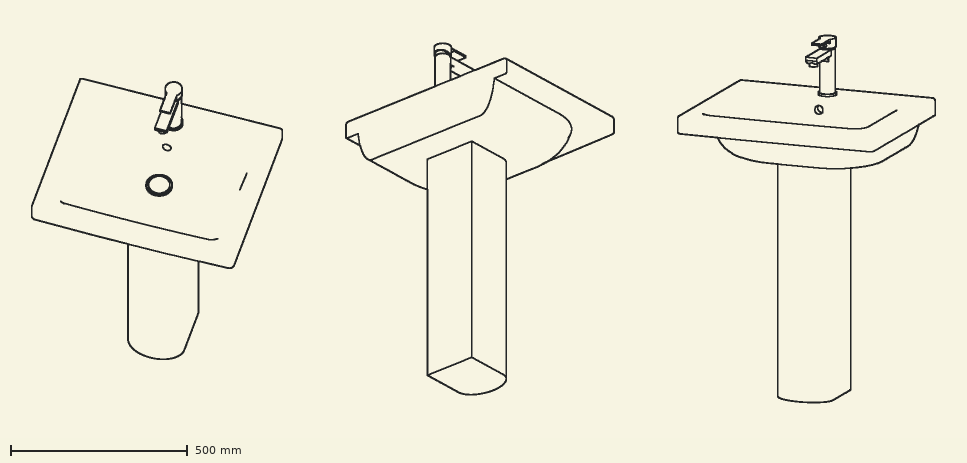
import cadquery as cq
import math


TOTAL_HEIGHT = 1013.0
BASIN_WIDTH = 601.0
BASIN_DEPTH = 480.0

RIM_Z = 847.0
SLAB_THICKNESS = 52.0
SLAB_FRONT_BOW = 4.0
SLAB_CORNER_RADIUS = 15.0
SLAB_TOP_FILLET = 9.0
SLAB_BOTTOM_FILLET = 4.0
SLAB_UNDERSIDE_Z = RIM_Z - SLAB_THICKNESS

BOWL_BOTTOM_Z = 694.0
SHELL_HEIGHT = 142.0
SHELL_FLAT_HALF_WIDTH = 203.0
SHELL_FLAT_FRONT = 304.0
SHELL_SIDE_BULGE = 55.0
SHELL_FRONT_BULGE = 126.0
SHELL_CORNER_RADIUS = 142.0
SHELL_SECTIONS = 7

DRAIN_Y = -211.0
DRAIN_RADIUS = 37.0
OPENING_HALF_WIDTH = 249.0
OPENING_BACK_Y = -136.0
OPENING_FRONT_Y = -431.0
OPENING_BOW = 4.0
SEAT_BOW = 0.4
OPENING_CORNER_RADIUS = 35.0
HOLLOW_CORNER_SWELL = 91.0
OPENING_EDGE_FILLET = 6.0
HOLLOW_FLOOR_Z = 729.0
HOLLOW_ROUNDNESS = 1.75
HOLLOW_SECTIONS = 8

OVERFLOW_RADIUS = 12.0
OVERFLOW_Z = 816.0
OVERFLOW_END_Y = -116.0

DRAIN_CAP_RADIUS = 30.0
DRAIN_FLANGE_HEIGHT = 2.0
DRAIN_CAP_HEIGHT = 4.0
DRAIN_RECESS = 5.0

PEDESTAL_WIDTH = 166.0
PEDESTAL_BACK_Y = -101.0
PEDESTAL_FRONT_Y = -292.0
PEDESTAL_NOSE_DEPTH = 55.0

TAP_Y = -72.0
TAP_RADIUS = 22.0
TAP_TOP_Z = 981.0
TAP_FLANGE_RADIUS = 26.0
TAP_FLANGE_HEIGHT = 6.0
SPOUT_WIDTH = 34.0
SPOUT_HEIGHT = 20.0
SPOUT_END_Y = -196.0
SPOUT_TIP_HEIGHT = 9.0
SPOUT_TIP_SLOPE = 9.0
SPOUT_EDGE_FILLET = 6.0
SPOUT_ROOT_SIZE = 13.0
AERATOR_Y = -178.0
AERATOR_RADIUS = 12.0
AERATOR_LENGTH = 8.0

KNOB_RADIUS = 24.0
KNOB_BOTTOM_Z = 986.0
NECK_RADIUS = 21.0
BEVEL_RISE = 8.0
BEVEL_LENGTH = 24.0
LEVER_THICKNESS = 5.0
LEVER_END_Y = -155.0
LEVER_WIDTH = 30.0
LEVER_GUSSET = 6.0
SCREW_HOLE_RADIUS = 6.0
SCREW_HOLE_Z = 997.0
SCREW_HOLE_DEPTH = 8.0


def at_height(z):
    return cq.Workplane("XY", origin=(0, 0, z))


def bowed_outline(half_width, back_y, front_y, bow, radius, z):
    """Rounded rectangle whose back and front edges bulge outward at the middle."""
    back_corner_y = back_y - bow
    front_corner_y = front_y + bow
    sharp = (
        at_height(z)
        .moveTo(-half_width, back_corner_y)
        .threePointArc((0, back_y), (half_width, back_corner_y))
        .lineTo(half_width, front_corner_y)
        .threePointArc((0, front_y), (-half_width, front_corner_y))
        .close()
        .val()
    )
    return sharp.fillet2D(radius, sharp.Vertices())


def basin_slab():
    half_width = BASIN_WIDTH / 2
    front_corner_y = SLAB_FRONT_BOW - BASIN_DEPTH
    slab = (
        at_height(SLAB_UNDERSIDE_Z)
        .moveTo(-half_width, 0)
        .lineTo(-half_width, front_corner_y)
        .threePointArc((0, -BASIN_DEPTH), (half_width, front_corner_y))
        .lineTo(half_width, 0)
        .close()
        .extrude(SLAB_THICKNESS)
        .edges("|Z")
        .edges("<Y")
        .fillet(SLAB_CORNER_RADIUS)
    )
    slab = slab.faces(">Z").edges("not >Y").fillet(SLAB_TOP_FILLET)
    return slab.faces("<Z").edges("not >Y").fillet(SLAB_BOTTOM_FILLET)


def shell_outline(angle):
    """Horizontal section of the bowl's outside, at one angle of its elliptical wall profile."""
    half_width = SHELL_FLAT_HALF_WIDTH + SHELL_SIDE_BULGE * math.cos(angle)
    front_y = -SHELL_FLAT_FRONT - SHELL_FRONT_BULGE * math.cos(angle)
    z = BOWL_BOTTOM_Z + SHELL_HEIGHT * (1 - math.sin(angle))
    r = SHELL_CORNER_RADIUS
    slant = r * math.sqrt(0.5)
    return (
        at_height(z)
        .moveTo(-half_width, 0)
        .lineTo(-half_width, front_y + r)
        .threePointArc((-half_width + r - slant, front_y + r - slant), (-half_width + r, front_y))
        .lineTo(half_width - r, front_y)
        .threePointArc((half_width - r + slant, front_y + r - slant), (half_width, front_y + r))
        .lineTo(half_width, 0)
        .close()
        .val()
    )


def bowl_shell():
    last = SHELL_SECTIONS - 1
    outlines = [shell_outline(math.pi / 2 * i / last) for i in range(SHELL_SECTIONS)]
    return cq.Workplane(cq.Solid.makeLoft(outlines))


def hollow_outline(angle):
    """Horizontal section of the hollow: the rim opening at angle 0, the drain seat at 90 degrees."""
    spread = max(math.cos(angle), 0) ** (2 / HOLLOW_ROUNDNESS)
    drop = math.sin(angle) ** (2 / HOLLOW_ROUNDNESS)

    def blend(seat, rim):
        return seat + (rim - seat) * spread

    bow = blend(SEAT_BOW, OPENING_BOW)
    return bowed_outline(
        blend(DRAIN_RADIUS, OPENING_HALF_WIDTH),
        blend(DRAIN_Y + DRAIN_RADIUS, OPENING_BACK_Y),
        blend(DRAIN_Y - DRAIN_RADIUS, OPENING_FRONT_Y),
        bow,
        OPENING_CORNER_RADIUS + HOLLOW_CORNER_SWELL * spread * drop,
        RIM_Z - (RIM_Z - HOLLOW_FLOOR_Z) * drop,
    )


def bowl_hollow():
    last = HOLLOW_SECTIONS - 1
    outlines = [hollow_outline(math.pi / 2 * i / last) for i in range(HOLLOW_SECTIONS)]
    return cq.Workplane(cq.Solid.makeLoft(outlines))


def overflow_hole():
    return (
        cq.Workplane("XZ", origin=(0, OVERFLOW_END_Y, OVERFLOW_Z))
        .circle(OVERFLOW_RADIUS)
        .extrude(OVERFLOW_END_Y - DRAIN_Y)
    )


def drain_recess():
    return (
        at_height(HOLLOW_FLOOR_Z - DRAIN_RECESS)
        .center(0, DRAIN_Y)
        .circle(DRAIN_RADIUS)
        .extrude(RIM_Z - HOLLOW_FLOOR_Z)
    )


def make_basin():
    basin = basin_slab().union(bowl_shell()).cut(bowl_hollow())
    rim_box = cq.selectors.BoxSelector(
        (-BASIN_WIDTH / 2 + SLAB_CORNER_RADIUS, SLAB_CORNER_RADIUS - BASIN_DEPTH, SLAB_UNDERSIDE_Z),
        (BASIN_WIDTH / 2 - SLAB_CORNER_RADIUS, -SLAB_CORNER_RADIUS, TOTAL_HEIGHT),
    )
    rim_edges = basin.faces(">Z").edges(rim_box)
    basin = rim_edges.fillet(OPENING_EDGE_FILLET)
    return basin.cut(overflow_hole()).cut(drain_recess())


def make_drain():
    bottom = HOLLOW_FLOOR_Z - DRAIN_RECESS
    flange_top = HOLLOW_FLOOR_Z + DRAIN_FLANGE_HEIGHT
    flange = at_height(bottom).center(0, DRAIN_Y).circle(DRAIN_RADIUS).extrude(flange_top - bottom)
    flange = flange.faces(">Z").edges().chamfer(DRAIN_FLANGE_HEIGHT)
    cap = at_height(bottom).center(0, DRAIN_Y).circle(DRAIN_CAP_RADIUS)
    cap = cap.extrude(HOLLOW_FLOOR_Z + DRAIN_CAP_HEIGHT - bottom)
    return flange.union(cap)


def make_pedestal():
    half_width = PEDESTAL_WIDTH / 2
    nose_y = PEDESTAL_FRONT_Y + PEDESTAL_NOSE_DEPTH
    block = (
        cq.Workplane("XY")
        .moveTo(-half_width, PEDESTAL_BACK_Y)
        .lineTo(half_width, PEDESTAL_BACK_Y)
        .lineTo(half_width, nose_y)
        .lineTo(-half_width, nose_y)
        .close()
        .extrude(BOWL_BOTTOM_Z)
    )
    nose = (
        cq.Workplane("XY")
        .center(0, nose_y)
        .ellipse(half_width, PEDESTAL_NOSE_DEPTH)
        .extrude(BOWL_BOTTOM_Z)
    )
    return block.union(nose)


def spout():
    underside_z = TAP_TOP_Z - SPOUT_HEIGHT
    root_y = TAP_Y - TAP_RADIUS
    bar = (
        cq.Workplane("YZ", origin=(-SPOUT_WIDTH / 2, 0, 0))
        .moveTo(TAP_Y, TAP_TOP_Z)
        .lineTo(SPOUT_END_Y, TAP_TOP_Z)
        .lineTo(SPOUT_END_Y, TAP_TOP_Z - SPOUT_TIP_HEIGHT)
        .lineTo(SPOUT_END_Y + SPOUT_TIP_SLOPE, underside_z)
        .lineTo(TAP_Y, underside_z)
        .close()
        .extrude(SPOUT_WIDTH)
    )
    bar = bar.faces("<Z").edges("|Y").fillet(SPOUT_EDGE_FILLET)
    root = (
        cq.Workplane("YZ", origin=(-SPOUT_WIDTH / 2 + SPOUT_EDGE_FILLET, 0, 0))
        .moveTo(TAP_Y, underside_z)
        .lineTo(root_y - SPOUT_ROOT_SIZE, underside_z)
        .radiusArc((root_y, underside_z - SPOUT_ROOT_SIZE), SPOUT_ROOT_SIZE)
        .lineTo(TAP_Y, underside_z - SPOUT_ROOT_SIZE)
        .close()
        .extrude(SPOUT_WIDTH - 2 * SPOUT_EDGE_FILLET)
    )
    aerator = (
        at_height(underside_z - AERATOR_LENGTH)
        .center(0, AERATOR_Y)
        .circle(AERATOR_RADIUS)
        .extrude(AERATOR_LENGTH + SPOUT_HEIGHT / 2)
    )
    return bar.union(root).union(aerator)


def make_tap():
    flange = at_height(RIM_Z).center(0, TAP_Y).circle(TAP_FLANGE_RADIUS).extrude(TAP_FLANGE_HEIGHT)
    column = at_height(RIM_Z).center(0, TAP_Y).circle(TAP_RADIUS).extrude(TAP_TOP_Z - RIM_Z)
    return flange.union(column).union(spout())


def make_handle():
    knob = at_height(KNOB_BOTTOM_Z).center(0, TAP_Y).circle(KNOB_RADIUS)
    knob = knob.extrude(TOTAL_HEIGHT - KNOB_BOTTOM_Z)
    back_y = TAP_Y + KNOB_RADIUS
    bevel = (
        cq.Workplane("YZ")
        .moveTo(back_y - BEVEL_LENGTH, KNOB_BOTTOM_Z)
        .lineTo(back_y, KNOB_BOTTOM_Z)
        .lineTo(back_y, KNOB_BOTTOM_Z + BEVEL_RISE)
        .close()
        .extrude(KNOB_RADIUS, both=True)
    )
    neck = at_height(TAP_TOP_Z).center(0, TAP_Y).circle(NECK_RADIUS).extrude(TOTAL_HEIGHT - TAP_TOP_Z)
    underside_z = TOTAL_HEIGHT - LEVER_THICKNESS
    lever_length = TAP_Y - LEVER_END_Y
    lever = (
        at_height(underside_z)
        .center(0, TAP_Y - lever_length / 2)
        .rect(LEVER_WIDTH, lever_length)
        .extrude(LEVER_THICKNESS)
    )
    front_y = TAP_Y - KNOB_RADIUS
    gusset = (
        cq.Workplane("YZ")
        .moveTo(TAP_Y, underside_z)
        .lineTo(front_y - LEVER_GUSSET, underside_z)
        .lineTo(front_y, underside_z - LEVER_GUSSET)
        .lineTo(TAP_Y, underside_z - LEVER_GUSSET)
        .close()
        .extrude(LEVER_WIDTH / 2, both=True)
    )
    screw_hole = (
        cq.Workplane("XZ", origin=(0, front_y + SCREW_HOLE_DEPTH, SCREW_HOLE_Z))
        .circle(SCREW_HOLE_RADIUS)
        .extrude(SCREW_HOLE_DEPTH + LEVER_GUSSET)
    )
    return knob.cut(bevel).union(neck).union(lever).union(gusset).cut(screw_hole)


basin = make_basin()
drain = make_drain()
pedestal = make_pedestal()
tap = make_tap()
handle = make_handle()

result = cq.Compound.makeCompound(
    [basin.val(), drain.val(), pedestal.val(), tap.val(), handle.val()]
)